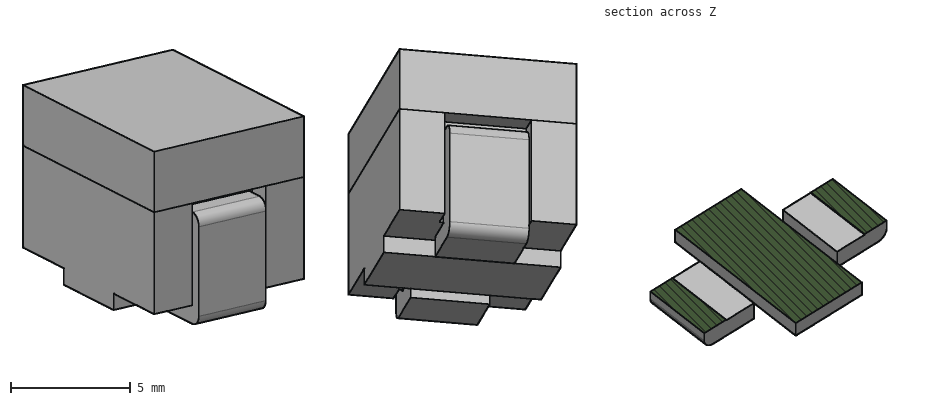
import cadquery as cq

overall_length = 10.25
body_width = 7.6
overall_height = 8.2

terminal_protrusion = 0.25
terminal_width = 3.4
terminal_top = 5.0
terminal_bend_radius = 0.5
pad_length = 2.8
pad_thickness = 0.9

body_length = overall_length - 2 * terminal_protrusion
seam_height = 5.49
base_bottom = 0.94
keel_length = 3.72
keel_bottom = 0.2

recess_width = keel_length
recess_depth = 1.0
recess_floor_x = body_length / 2 - recess_depth


def block(length, width, bottom, top, center_x=0.0):
    """Box centred on Y, spanning bottom to top in Z."""
    return (
        cq.Workplane("XY", origin=(center_x, 0, bottom))
        .rect(length, width)
        .extrude(top - bottom)
    )


def make_cover():
    """Plain rectangular cover resting on the base."""
    return block(body_length, body_width, seam_height, overall_height)


def make_terminal(side):
    """L-shaped terminal at the -X (side = -1) or +X (side = 1) end."""
    outer_x = side * overall_length / 2
    leg_x = side * recess_floor_x
    foot_x = side * (overall_length / 2 - pad_length)
    profile = [
        (outer_x, 0),
        (outer_x, terminal_top),
        (leg_x, terminal_top),
        (leg_x, pad_thickness),
        (foot_x, pad_thickness),
        (foot_x, 0),
    ]
    terminal = cq.Workplane("XZ").polyline(profile).close().extrude(terminal_width / 2, both=True)
    outer_face = ">X" if side > 0 else "<X"
    return terminal.faces(outer_face).edges("|Y").fillet(terminal_bend_radius)


def make_base():
    """Base with a keel underneath, recessed ends and its two terminals in one piece."""
    base = block(body_length, body_width, base_bottom, seam_height)
    keel = block(keel_length, body_width, keel_bottom, seam_height)
    base = base.union(keel)
    for side in (-1, 1):
        recess_center_x = side * (recess_floor_x + recess_depth / 2)
        recess = block(recess_depth, recess_width, base_bottom, seam_height, recess_center_x)
        base = base.cut(recess).union(make_terminal(side))
    return base


cover = make_cover()
base = make_base()

result = cq.Compound.makeCompound([cover.val(), base.solids().val()])